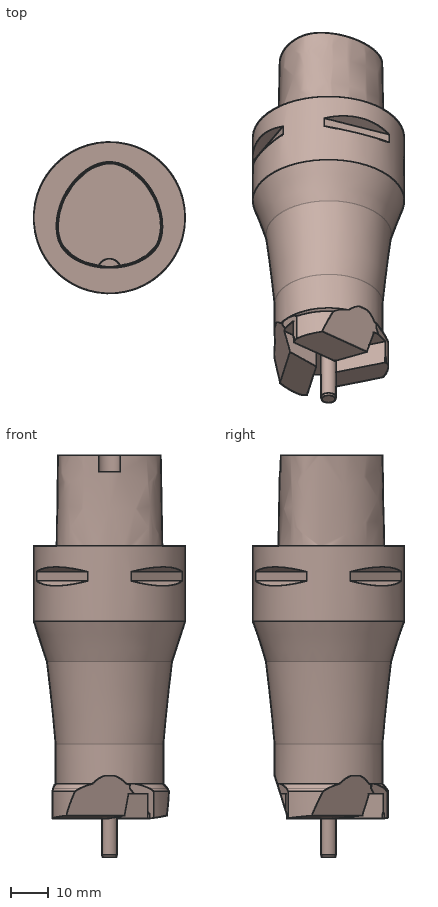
import cadquery as cq
import math

total_height = 106.0
flange_top_z = 82.0
flange_bottom_z = 62.2
shoulder_z = 51.6
neck_top_z = 30.0
head_top_z = 19.4
head_bevel_z = 18.2
head_wall_z = 17.4
head_bottom_z = 10.2

flange_radius = 40.0 / 2
shoulder_radius = 16.5
neck_radius = 28.5 / 2
head_bevel_radius = 15.3
head_radius = 15.8
pin_radius = 4.0 / 2
pin_tip_radius = 1.8
pin_chamfer_height = 0.6
taper_hollow = 0.1

shank_base_radius = 14.0
shank_top_radius = 13.6
lobe_height = 0.7
shank_points = 48
key_radius = 3.1
key_center_y = -13.9
key_depth = 4.3

notch_count = 4
notch_floor_distance = 17.6
notch_floor_bottom_z = 72.8
notch_floor_top_z = 75.3
notch_side_rise = 1.3

tooth_count = 3
flute_top_distance = 14.2
flute_top_z = 21.5
flute_bottom_distance = 11.0
flute_bottom_z = 11.3
flat_distance = 15.0
flat_edge_offset = 5.0
flat_angle = 8.0
slot_top_z = 16.7
slot_far_side = 3.2
slot_near_side = pin_radius
relief_start = 3.2
relief_height = 0.8
relief_end_x = 5.3

cutter_size = 2 * flange_radius


def turned_body():
    """Flange, tapers, neck and cutting head blank revolved as one profile."""
    taper_middle = (
        (shoulder_radius + neck_radius) / 2 - taper_hollow,
        (shoulder_z + neck_top_z) / 2,
    )
    profile = (
        cq.Workplane("XZ")
        .moveTo(0, flange_top_z)
        .lineTo(flange_radius, flange_top_z)
        .lineTo(flange_radius, flange_bottom_z)
        .lineTo(shoulder_radius, shoulder_z)
        .threePointArc(taper_middle, (neck_radius, neck_top_z))
        .lineTo(neck_radius, head_top_z)
        .lineTo(head_bevel_radius, head_bevel_z)
        .lineTo(head_radius, head_wall_z)
        .lineTo(head_radius, head_bottom_z)
        .lineTo(0, head_bottom_z)
        .close()
    )
    return profile.revolve(360, (0, 0, 0), (0, 1, 0))


def lobed_outline(radius):
    """Points of a constant-width curve with one of its three lobes toward +Y."""
    points = []
    for i in range(shank_points):
        angle = 2 * math.pi * i / shank_points
        support = radius - lobe_height * math.sin(3 * angle)
        slope = -3 * lobe_height * math.cos(3 * angle)
        points.append((
            support * math.cos(angle) - slope * math.sin(angle),
            support * math.sin(angle) + slope * math.cos(angle),
        ))
    return points


def shank():
    """Tapered lobed shank with a round-backed key notch at its top."""
    body = (
        cq.Workplane("XY", origin=(0, 0, flange_top_z))
        .spline(lobed_outline(shank_base_radius), periodic=True).close()
        .workplane(offset=total_height - flange_top_z)
        .spline(lobed_outline(shank_top_radius), periodic=True).close()
        .loft(ruled=True)
    )
    key = (
        cq.Workplane("XY", origin=(0, key_center_y, total_height - key_depth))
        .circle(key_radius)
        .extrude(key_depth)
    )
    return body.cut(key)


def pin():
    """Centre pin with a chamfered tip, reaching up to the slot ceiling."""
    return (
        cq.Workplane("XZ")
        .moveTo(0, 0)
        .lineTo(pin_tip_radius, 0)
        .lineTo(pin_radius, pin_chamfer_height)
        .lineTo(pin_radius, slot_top_z)
        .lineTo(0, slot_top_z)
        .close()
        .revolve(360, (0, 0, 0), (0, 1, 0))
    )


def gripper_notch():
    """Flat-floored notch with sloping sides, cut into the +X side."""
    rise = notch_side_rise
    return (
        cq.Workplane("XZ")
        .moveTo(notch_floor_distance, notch_floor_bottom_z)
        .lineTo(flange_radius, notch_floor_bottom_z - rise)
        .lineTo(flange_radius, notch_floor_top_z + rise)
        .lineTo(notch_floor_distance, notch_floor_top_z)
        .close()
        .extrude(cutter_size / 2, both=True)
    )


def flute():
    """Inclined chip face on the -Y side, upright along its lowest strip."""
    return (
        cq.Workplane("YZ")
        .moveTo(-flute_top_distance, flute_top_z)
        .lineTo(-flute_bottom_distance, flute_bottom_z)
        .lineTo(-flute_bottom_distance, head_bottom_z)
        .lineTo(-cutter_size, head_bottom_z)
        .lineTo(-cutter_size, flute_top_z)
        .close()
        .extrude(cutter_size / 2, both=True)
    )


def insert_seat():
    """Slightly turned end flat and radial slot for one insert, on the -X side."""
    inward_lean = math.tan(math.radians(flat_angle)) * (flat_edge_offset + slot_near_side)
    flat = (
        cq.Workplane("XY", origin=(0, 0, head_bottom_z))
        .moveTo(-flat_distance, -flat_edge_offset)
        .lineTo(-flat_distance + inward_lean, slot_near_side)
        .lineTo(-cutter_size, slot_near_side)
        .lineTo(-cutter_size, -flange_radius)
        .lineTo(-flat_distance, -flange_radius)
        .close()
        .extrude(head_top_z - head_bottom_z)
    )
    slot = cq.Workplane("XY").box(
        cutter_size, slot_far_side + slot_near_side, slot_top_z - head_bottom_z, centered=False
    ).translate((-cutter_size, -slot_far_side, head_bottom_z))
    return flat.union(slot)


def relief():
    """Wedge that lifts the underside of a tooth toward its chip face."""
    return (
        cq.Workplane("YZ", origin=(-cutter_size, 0, 0))
        .moveTo(-relief_start, head_bottom_z)
        .lineTo(-flute_bottom_distance, head_bottom_z + relief_height)
        .lineTo(-flute_bottom_distance, head_bottom_z)
        .close()
        .extrude(cutter_size + relief_end_x)
    )


def turn(shape, angle):
    return shape.rotate((0, 0, 0), (0, 0, 1), angle)


result = turned_body().union(shank())

for i in range(notch_count):
    result = result.cut(turn(gripper_notch(), 360 / notch_count * (i + 0.5)))

for i in range(tooth_count):
    tooth_angle = 360 / tooth_count * i
    result = result.cut(turn(flute(), tooth_angle))
    result = result.cut(turn(relief(), tooth_angle))
    result = result.cut(turn(insert_seat(), tooth_angle))

result = result.union(pin())